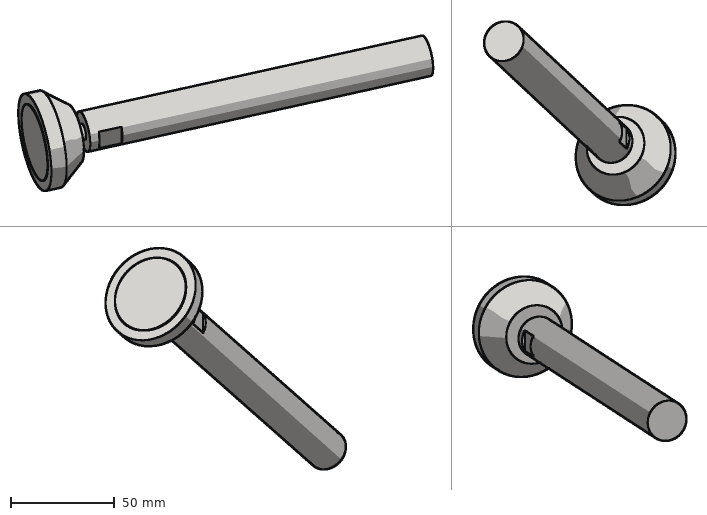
import cadquery as cq
import math

total_length = 200.0

foot_diameter = 48.0
foot_top_diameter = 29.0
foot_rim_end = 8.0
foot_top = 20.2
pad_diameter = 38.0
pad_face_diameter = 37.5
pad_height = 0.2

rod_diameter = 20.0
rod_start = 25.0
neck_diameter = 7.8
neck_start = 21.5
ball_diameter = 12.8
flat_start = 29.8
flat_length = 11.5
flat_spacing = 17.2

ball_radius = ball_diameter / 2
neck_radius = neck_diameter / 2
ball_center = neck_start - math.sqrt(ball_radius**2 - neck_radius**2)


def make_ball():
    return cq.Workplane("XY").sphere(ball_radius).translate((0, ball_center, 0))


def make_foot():
    """Conical foot with a raised contact face and a socket for the ball."""
    profile = [
        (0, 0),
        (pad_face_diameter / 2, 0),
        (pad_diameter / 2, pad_height),
        (foot_diameter / 2, pad_height),
        (foot_diameter / 2, foot_rim_end),
        (foot_top_diameter / 2, foot_top),
        (0, foot_top),
    ]
    body = cq.Workplane("XY").polyline(profile).close().revolve(360, (0, 0), (0, 1))
    return body.cut(make_ball())


def make_rod():
    """Round rod with two opposite wrench flats near its lower end."""
    rod_length = total_length - rod_start
    rod = (
        cq.Workplane("XZ", origin=(0, rod_start, 0))
        .circle(rod_diameter / 2)
        .extrude(-rod_length)
    )
    flat_center = flat_start + flat_length / 2
    cutter = cq.Workplane("XY").box(rod_diameter, flat_length, rod_diameter)
    offset = (flat_spacing + rod_diameter) / 2
    for side in (-1, 1):
        rod = rod.cut(cutter.translate((side * offset, flat_center, 0)))
    return rod


def make_spindle():
    """Rod, neck and ball in one piece."""
    neck = (
        cq.Workplane("XZ", origin=(0, ball_center, 0))
        .circle(neck_radius)
        .extrude(ball_center - rod_start)
    )
    return make_rod().union(neck).union(make_ball())


foot = make_foot()
spindle = make_spindle()

result = cq.Compound.makeCompound([foot.val(), spindle.val()])